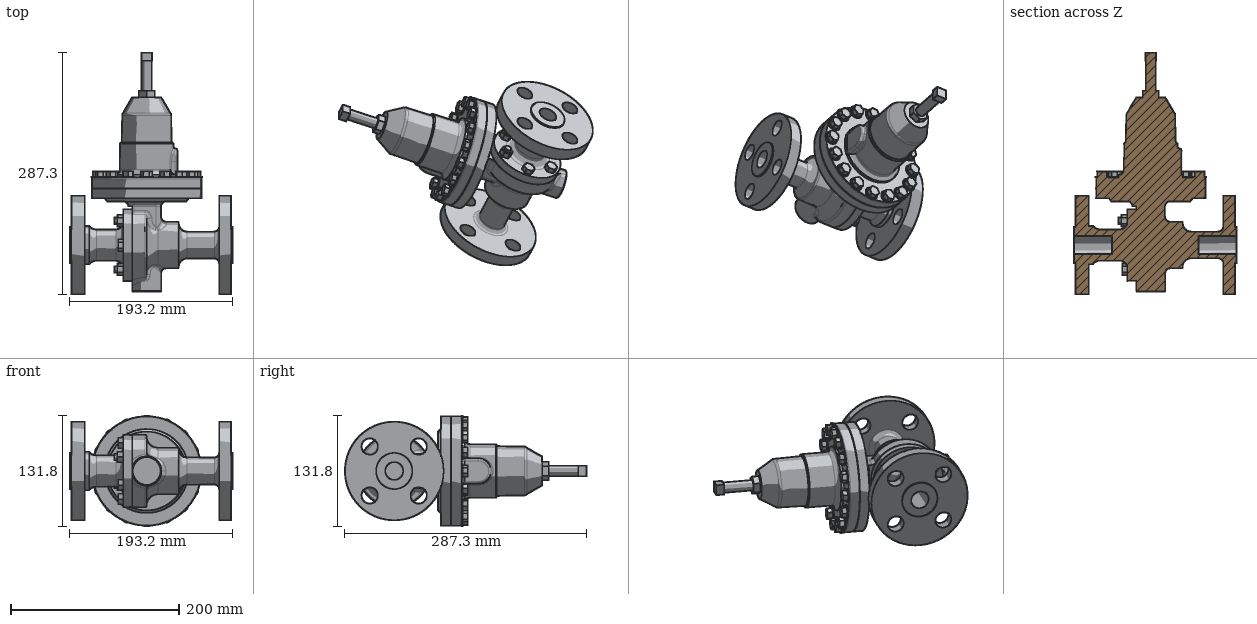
import cadquery as cq
import math

EMBED = 1.0
SEAM_TOLERANCE = 0.001

FLANGE_RADIUS = 58.7
INLET_FACE_X = -91.1
OUTLET_FACE_X = INLET_FACE_X + 193.17
RAISED_FACE_HEIGHT = 1.8
RAISED_FACE_RADIUS = 21.5
INLET_FLANGE_THICKNESS = 16.0
OUTLET_FLANGE_THICKNESS = 14.3
FLANGE_HOLE_RADIUS = 9.6
FLANGE_HOLE_OFFSET = 29.0
BORE_RADIUS = 10.6
BORE_DEPTH = 45.0

INLET_PIPE_RADIUS = 18.7
INLET_COLLAR_RADIUS = 22.9
INLET_COLLAR_END_X = -68.3
INLET_COLLAR_ARC_RADIUS = 10.9
INLET_FLARE = 9.1

COVER_RADIUS = 42.8
COVER_LEFT_X = -27.9
COVER_RIGHT_X = -17.3
BODY_RADIUS = 43.0
BODY_SPARE_LENGTH = 20.0
BODY_EDGE_ROUND = 2.0
BODY_NECK_RADIUS = 27.8
BODY_NECK_FILLET = 13.0
BODY_END_X = 38.3
BODY_END_ROUND = 1.6
OUTLET_PIPE_RADIUS = 16.1
OUTLET_PIPE_FILLET = 9.5
OUTLET_FLANGE_FILLET = 5.8

COVER_BOLT_COUNT = 6
COVER_BOLT_CIRCLE_RADIUS = 33.4
COVER_HEX_FLATS = 12.3
COVER_HEAD_HEIGHT = 6.0
COVER_NUT_HEIGHT = 7.0
STUD_RADIUS = 4.0
STUD_LENGTH = 10.4
STUD_ANGLES = (30, 150, 330)

BOSS_RADIUS = 17.5
BOSS_END_Y = -55.3
BOSS_EDGE_CHAMFER = 1.0
BOSS_BLEND = 5.0

NECK_LEFT_X = -21.9
NECK_RIGHT_X = 17.2
NECK_HALF_DEPTH = 20.2
NECK_CORNER_RADIUS = 6.3
NECK_RELIEF_TOP_Y = 46.0
NECK_FLARE = 5.8
NECK_BLEND = 6.0

CASE_RADIUS = 65.1
CASE_BOTTOM_Y = 55.3
CASE_TOP_Y = 80.3
CASE_EDGE_CHAMFER_HEIGHT = 1.5
CASE_EDGE_CHAMFER_WIDTH = 0.4
CASE_STEP_Y = 51.7
CASE_STEP_RADIUS = 49.9
CASE_STEP_CHAMFER = 3.1
JOINT_Y = 67.2
JOINT_WIDTH = 0.6
JOINT_DEPTH = 0.2

CASE_BOLT_COUNT = 16
CASE_WASHER_RADIUS = 8.0
CASE_BOLT_CIRCLE_RADIUS = 131.76 / 2 - CASE_WASHER_RADIUS
CASE_WASHER_TOP_Y = 81.3
CASE_HEAD_TOP_Y = 87.4
CASE_HEX_FLATS = 12.0
CASE_HEX_TURN = 35.0

BONNET_RADIUS = 32.0
BONNET_BASE_FILLET = 6.4
BONNET_COLLAR_TOP_Y = 83.5
BONNET_SHOULDER_Y = 122.0
BONNET_SHOULDER_CHAMFER = 1.5
BARREL_BASE_RADIUS = 29.8
BARREL_TOP_RADIUS = 29.2
BARREL_TOP_Y = 154.1
CONE_BASE_RADIUS = 27.8
CONE_BASE_Y = 157.4
CONE_TOP_RADIUS = 17.3
CONE_TOP_Y = 175.5
LOCKNUT_FLATS = 19.2
LOCKNUT_TOP_Y = 183.5
SCREW_RADIUS = 6.3
SCREW_HEAD_Y = 218.8
SCREW_END_Y = 287.27 - FLANGE_RADIUS
SCREW_SQUARE = 12.8

VENT_FACE_X = 36.6
VENT_HALF_WIDTH = 15.2
VENT_ARCH_CENTRE_Y = 99.8
VENT_EDGE_FILLET = 3.0
VENT_BASE_FILLET = 2.0


def x_cylinder(radius, start_x, length, y=0, z=0):
    return cq.Workplane("YZ", origin=(start_x, y, z)).circle(radius).extrude(length)


def y_cylinder(radius, start_y, end_y, x=0, z=0):
    return cq.Workplane("XZ", origin=(x, start_y, z)).circle(radius).extrude(start_y - end_y)


def hex_diameter(flats):
    return flats / math.cos(math.pi / 6)


def arc_to(sketch, end, centre, radius, toward_degrees):
    """Circular arc to `end` through the point of the circle lying in the given direction."""
    angle = math.radians(toward_degrees)
    middle = (centre[0] + radius * math.cos(angle), centre[1] + radius * math.sin(angle))
    return sketch.threePointArc(middle, end)


def make_flange(face_x, thickness, inward):
    """Pipe flange with raised face; `inward` is +1 or -1 along X."""
    face = x_cylinder(RAISED_FACE_RADIUS, face_x, inward * (RAISED_FACE_HEIGHT + EMBED))
    disc_x = face_x + inward * RAISED_FACE_HEIGHT
    disc = x_cylinder(FLANGE_RADIUS, disc_x, inward * thickness)
    holes = (
        cq.Workplane("YZ", origin=(disc_x, 0, 0))
        .rect(2 * FLANGE_HOLE_OFFSET, 2 * FLANGE_HOLE_OFFSET, forConstruction=True)
        .vertices()
        .circle(FLANGE_HOLE_RADIUS)
        .extrude(inward * thickness)
    )
    return disc.cut(holes).union(face)


def seam_fillet(first, second, radius):
    """Join two bodies and round the edges where their surfaces meet."""
    joined = first.union(second)
    first_skin = first.val().Shells()[0]
    second_skin = second.val().Shells()[0]
    seam = []
    for edge in joined.edges().vals():
        middle = cq.Vertex.makeVertex(*edge.positionAt(0.5).toTuple())
        if max(middle.distance(first_skin), middle.distance(second_skin)) < SEAM_TOLERANCE:
            seam.append(edge)
    return joined.newObject(seam).fillet(radius)


def make_inlet():
    """Inlet pipe with its collar, flared into the round cover."""
    start_x = INLET_FACE_X + RAISED_FACE_HEIGHT + INLET_FLANGE_THICKNESS - EMBED
    collar_step = INLET_COLLAR_RADIUS - INLET_PIPE_RADIUS
    collar_angle = math.acos(1 - collar_step / INLET_COLLAR_ARC_RADIUS)
    collar_arc_end_x = INLET_COLLAR_END_X + INLET_COLLAR_ARC_RADIUS * math.sin(collar_angle)
    profile = (
        cq.Workplane("XY")
        .moveTo(start_x, 0)
        .lineTo(start_x, INLET_COLLAR_RADIUS)
        .lineTo(INLET_COLLAR_END_X, INLET_COLLAR_RADIUS)
    )
    profile = arc_to(
        profile,
        (collar_arc_end_x, INLET_PIPE_RADIUS),
        (collar_arc_end_x, INLET_PIPE_RADIUS + INLET_COLLAR_ARC_RADIUS),
        INLET_COLLAR_ARC_RADIUS,
        270 - math.degrees(collar_angle) / 2,
    )
    flare_x = COVER_LEFT_X - INLET_FLARE
    flare_radius = INLET_PIPE_RADIUS + INLET_FLARE
    profile = arc_to(
        profile.lineTo(flare_x, INLET_PIPE_RADIUS),
        (COVER_LEFT_X, flare_radius),
        (flare_x, flare_radius),
        INLET_FLARE,
        315,
    )
    profile = (
        profile.lineTo(COVER_LEFT_X, COVER_RADIUS)
        .lineTo(COVER_RIGHT_X, COVER_RADIUS)
        .lineTo(COVER_RIGHT_X, 0)
        .close()
    )
    return profile.revolve(360, (0, 0, 0), (1, 0, 0))


def make_body():
    """Turned valve body and outlet pipe, with spare length on the cover side."""
    start_x = COVER_RIGHT_X - BODY_SPARE_LENGTH
    edge_centre = (-BODY_EDGE_ROUND, BODY_RADIUS - BODY_EDGE_ROUND)
    profile = (
        cq.Workplane("XY")
        .moveTo(start_x, 0)
        .lineTo(start_x, BODY_RADIUS)
        .lineTo(-BODY_EDGE_ROUND, BODY_RADIUS)
    )
    profile = arc_to(profile, (0, BODY_RADIUS - BODY_EDGE_ROUND), edge_centre, BODY_EDGE_ROUND, 45)

    neck_arc_y = BODY_NECK_RADIUS + BODY_NECK_FILLET
    profile = arc_to(
        profile.lineTo(0, neck_arc_y),
        (BODY_NECK_FILLET, BODY_NECK_RADIUS),
        (BODY_NECK_FILLET, neck_arc_y),
        BODY_NECK_FILLET,
        225,
    )
    end_centre = (BODY_END_X - BODY_END_ROUND, BODY_NECK_RADIUS - BODY_END_ROUND)
    profile = arc_to(
        profile.lineTo(end_centre[0], BODY_NECK_RADIUS),
        (BODY_END_X, end_centre[1]),
        end_centre,
        BODY_END_ROUND,
        45,
    )
    outlet_arc_x = BODY_END_X + OUTLET_PIPE_FILLET
    outlet_arc_y = OUTLET_PIPE_RADIUS + OUTLET_PIPE_FILLET
    profile = arc_to(
        profile.lineTo(BODY_END_X, outlet_arc_y),
        (outlet_arc_x, OUTLET_PIPE_RADIUS),
        (outlet_arc_x, outlet_arc_y),
        OUTLET_PIPE_FILLET,
        225,
    )
    outlet_x = OUTLET_FACE_X - RAISED_FACE_HEIGHT - OUTLET_FLANGE_THICKNESS
    flare_x = outlet_x - OUTLET_FLANGE_FILLET
    flare_radius = OUTLET_PIPE_RADIUS + OUTLET_FLANGE_FILLET
    profile = arc_to(
        profile.lineTo(flare_x, OUTLET_PIPE_RADIUS),
        (outlet_x, flare_radius),
        (flare_x, flare_radius),
        OUTLET_FLANGE_FILLET,
        315,
    )
    profile = profile.lineTo(outlet_x + EMBED, flare_radius).lineTo(outlet_x + EMBED, 0).close()
    return profile.revolve(360, (0, 0, 0), (1, 0, 0))


def make_bottom_boss():
    return y_cylinder(BOSS_RADIUS, BOSS_END_Y, 0).faces("<Y").chamfer(BOSS_EDGE_CHAMFER)


def make_neck():
    """Rounded rectangular neck rising from the body into the diaphragm case."""
    neck = cq.Workplane("XY").box(
        NECK_RIGHT_X - NECK_LEFT_X,
        CASE_STEP_Y + EMBED,
        2 * NECK_HALF_DEPTH,
        centered=(False, False, True),
    )
    return neck.translate((NECK_LEFT_X, 0, 0)).edges("|Y").fillet(NECK_CORNER_RADIUS)


def make_cover_space(top_y):
    """Block on the inlet side of the cover joint, up to the given height."""
    bottom_y = BOSS_END_Y - EMBED
    block = cq.Workplane("XY").box(
        BODY_SPARE_LENGTH + EMBED,
        top_y - bottom_y,
        2 * (BODY_RADIUS + EMBED),
        centered=(False, False, True),
    )
    return block.translate((COVER_RIGHT_X - BODY_SPARE_LENGTH - EMBED, bottom_y, 0))


def make_casting():
    """Body blended into the bottom boss and the neck, cut flush at the cover joint."""
    casting = seam_fillet(make_body(), make_bottom_boss(), BOSS_BLEND)
    casting = seam_fillet(casting, make_neck(), NECK_BLEND)
    return casting.cut(make_cover_space(CASE_BOTTOM_Y))


def make_case_and_bonnet():
    """Diaphragm case, bonnet and screw shank as one turned shape."""
    collar_radius = BONNET_RADIUS + BONNET_BASE_FILLET
    fillet_y = BONNET_COLLAR_TOP_Y + BONNET_BASE_FILLET
    profile = (
        cq.Workplane("XY")
        .moveTo(0, CASE_STEP_Y)
        .lineTo(CASE_STEP_RADIUS - CASE_STEP_CHAMFER, CASE_STEP_Y)
        .lineTo(CASE_STEP_RADIUS, CASE_BOTTOM_Y)
        .lineTo(CASE_RADIUS, CASE_BOTTOM_Y)
        .lineTo(CASE_RADIUS, CASE_TOP_Y - CASE_EDGE_CHAMFER_HEIGHT)
        .lineTo(CASE_RADIUS - CASE_EDGE_CHAMFER_WIDTH, CASE_TOP_Y)
        .lineTo(collar_radius, CASE_TOP_Y)
        .lineTo(collar_radius, BONNET_COLLAR_TOP_Y)
    )
    profile = arc_to(
        profile, (BONNET_RADIUS, fillet_y), (collar_radius, fillet_y), BONNET_BASE_FILLET, 225
    )
    profile = (
        profile.lineTo(BONNET_RADIUS, BONNET_SHOULDER_Y - BONNET_SHOULDER_CHAMFER)
        .lineTo(BONNET_RADIUS - BONNET_SHOULDER_CHAMFER, BONNET_SHOULDER_Y)
        .lineTo(BARREL_BASE_RADIUS, BONNET_SHOULDER_Y)
        .lineTo(BARREL_TOP_RADIUS, BARREL_TOP_Y)
        .tangentArcPoint((CONE_BASE_RADIUS, CONE_BASE_Y), relative=False)
        .lineTo(CONE_TOP_RADIUS, CONE_TOP_Y)
        .lineTo(SCREW_RADIUS, CONE_TOP_Y)
        .lineTo(SCREW_RADIUS, SCREW_HEAD_Y)
        .lineTo(0, SCREW_HEAD_Y)
        .close()
    )
    turned = profile.revolve(360, (0, 0, 0), (0, 1, 0))
    joint_bottom = JOINT_Y - JOINT_WIDTH / 2
    joint_top = JOINT_Y + JOINT_WIDTH / 2
    joint = y_cylinder(CASE_RADIUS + EMBED, joint_bottom, joint_top).cut(
        y_cylinder(CASE_RADIUS - JOINT_DEPTH, joint_bottom, joint_top)
    )
    return turned.cut(joint)


def make_vent_pad():
    """Arched pad with a flat face to +X, blended into the bonnet wall."""
    arch = (
        cq.Workplane("YZ")
        .moveTo(CASE_TOP_Y - EMBED, -VENT_HALF_WIDTH)
        .lineTo(VENT_ARCH_CENTRE_Y, -VENT_HALF_WIDTH)
        .threePointArc((VENT_ARCH_CENTRE_Y + VENT_HALF_WIDTH, 0), (VENT_ARCH_CENTRE_Y, VENT_HALF_WIDTH))
        .lineTo(CASE_TOP_Y - EMBED, VENT_HALF_WIDTH)
        .close()
        .extrude(VENT_FACE_X)
    )
    pad = arch.faces(">X").edges("not <Y").fillet(VENT_EDGE_FILLET)
    bonnet_wall = y_cylinder(BONNET_RADIUS, CASE_BOTTOM_Y, BONNET_SHOULDER_Y - BONNET_SHOULDER_CHAMFER)
    return seam_fillet(pad, bonnet_wall, VENT_BASE_FILLET)


def make_locknut():
    corners = hex_diameter(LOCKNUT_FLATS)
    nut = cq.Workplane("XZ", origin=(0, CONE_TOP_Y - EMBED, 0)).transformed(rotate=(0, 0, 90))
    return nut.polygon(6, corners).extrude(CONE_TOP_Y - EMBED - LOCKNUT_TOP_Y)


def make_screw_head():
    head = cq.Workplane("XZ", origin=(0, SCREW_HEAD_Y, 0)).rect(SCREW_SQUARE, SCREW_SQUARE)
    return head.extrude(SCREW_HEAD_Y - SCREW_END_Y)


def make_case_bolt(angle):
    """Washer and hex head on the case; `angle` in degrees turns about Y."""
    hex_start_y = CASE_WASHER_TOP_Y - EMBED
    washer = y_cylinder(CASE_WASHER_RADIUS, CASE_TOP_Y, CASE_WASHER_TOP_Y, CASE_BOLT_CIRCLE_RADIUS)
    head = (
        cq.Workplane("XZ", origin=(CASE_BOLT_CIRCLE_RADIUS, hex_start_y, 0))
        .transformed(rotate=(0, 0, CASE_HEX_TURN))
        .polygon(6, hex_diameter(CASE_HEX_FLATS))
        .extrude(hex_start_y - CASE_HEAD_TOP_Y)
    )
    return washer.union(head).rotate((0, 0, 0), (0, 1, 0), angle)


def make_cover_bolt(angle):
    """Bolt head, or nut on a stud, on the inlet side of the cover."""
    y = COVER_BOLT_CIRCLE_RADIUS * math.cos(math.radians(angle))
    z = COVER_BOLT_CIRCLE_RADIUS * math.sin(math.radians(angle))
    start_x = COVER_LEFT_X + EMBED
    has_stud = angle in STUD_ANGLES
    height = COVER_NUT_HEIGHT if has_stud else COVER_HEAD_HEIGHT
    bolt = (
        cq.Workplane("YZ", origin=(start_x, y, z))
        .polygon(6, hex_diameter(COVER_HEX_FLATS))
        .extrude(-height - EMBED)
    )
    if has_stud:
        bolt = bolt.union(x_cylinder(STUD_RADIUS, start_x, -STUD_LENGTH - EMBED, y, z))
    return bolt


result = seam_fillet(make_case_and_bonnet(), make_neck(), NECK_FLARE)
result = result.cut(make_cover_space(NECK_RELIEF_TOP_Y))
result = result.union(make_casting()).union(make_vent_pad())
result = result.union(make_inlet()).union(make_locknut()).union(make_screw_head())
result = result.union(make_flange(INLET_FACE_X, INLET_FLANGE_THICKNESS, 1))
result = result.union(make_flange(OUTLET_FACE_X, OUTLET_FLANGE_THICKNESS, -1))
for index in range(CASE_BOLT_COUNT):
    result = result.union(make_case_bolt(index * 360 / CASE_BOLT_COUNT))
for index in range(COVER_BOLT_COUNT):
    result = result.union(make_cover_bolt(30 + index * 360 // COVER_BOLT_COUNT))
result = result.cut(x_cylinder(BORE_RADIUS, INLET_FACE_X, BORE_DEPTH))
result = result.cut(x_cylinder(BORE_RADIUS, OUTLET_FACE_X, -BORE_DEPTH))